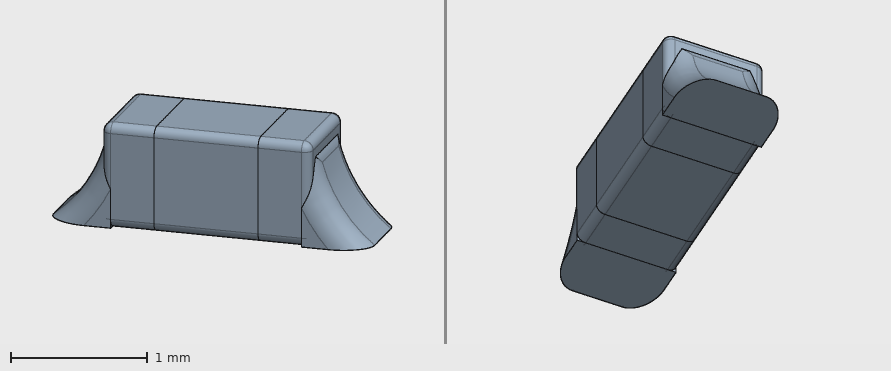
import cadquery as cq
import math

chip_length = 1.6
chip_width = 0.8
chip_height = 0.8
terminal_length = 0.4
edge_radius = 0.07

overall_length = 2.46
solder_radius = 1.132
solder_top_z = 0.748
solder_rounding = 0.2

chip_end_x = chip_length / 2
ceramic_end_x = chip_end_x - terminal_length
solder_tip_x = overall_length / 2
solder_top_x = chip_end_x
solder_back_x = chip_end_x - edge_radius
blank_back_x = ceramic_end_x


def make_chip():
    """Whole rounded chip block, standing on Z = 0."""
    block = cq.Workplane("XY").box(chip_length, chip_width, chip_height, centered=(True, True, False))
    return block.edges().fillet(edge_radius)


def chip_slice(start_x, end_x):
    """Part of the chip between two X positions."""
    cutter = (
        cq.Workplane("XY")
        .box(end_x - start_x, chip_width, chip_height, centered=(False, True, False))
        .translate((start_x, 0, 0))
    )
    return make_chip().intersect(cutter)


def front_arc_middle():
    """Middle point (x, z) of the concave front arc between the solder's tip and its top edge."""
    rise_x = solder_top_x - solder_tip_x
    chord = math.hypot(rise_x, solder_top_z)
    sagitta = solder_radius - math.sqrt(solder_radius**2 - (chord / 2) ** 2)
    middle_x = (solder_tip_x + solder_top_x) / 2 - sagitta * solder_top_z / chord
    middle_z = solder_top_z / 2 + sagitta * rise_x / chord
    return middle_x, middle_z


def make_solder_blank():
    """Solder wedge at the +X end with its front face's side and top edges rounded."""
    blank = (
        cq.Workplane("XZ")
        .moveTo(blank_back_x, 0)
        .lineTo(solder_tip_x, 0)
        .threePointArc(front_arc_middle(), (solder_top_x, solder_top_z))
        .lineTo(blank_back_x, solder_top_z)
        .close()
        .extrude(chip_width / 2, both=True)
    )
    side_edges = blank.edges("%CIRCLE")
    top_edge = blank.faces(">Z").edges(">X")
    return side_edges.add(top_edge).fillet(solder_rounding)


def make_solder():
    """Solder at the +X end, hollowed to fit around the rounded end of the chip."""
    room = (
        cq.Workplane("XY")
        .box(solder_tip_x - solder_back_x, chip_width, chip_height, centered=(False, True, False))
        .translate((solder_back_x, 0, 0))
    )
    return make_solder_blank().intersect(room).cut(make_chip())


ceramic = chip_slice(-ceramic_end_x, ceramic_end_x)
terminal = chip_slice(ceramic_end_x, chip_end_x)
solder = make_solder()

bodies = [ceramic.solids().val()]
for end_part in (terminal, solder):
    for turn in (0, 180):
        turned = end_part.rotate((0, 0, 0), (0, 0, 1), turn)
        bodies.append(turned.solids().val())

result = cq.Compound.makeCompound(bodies)